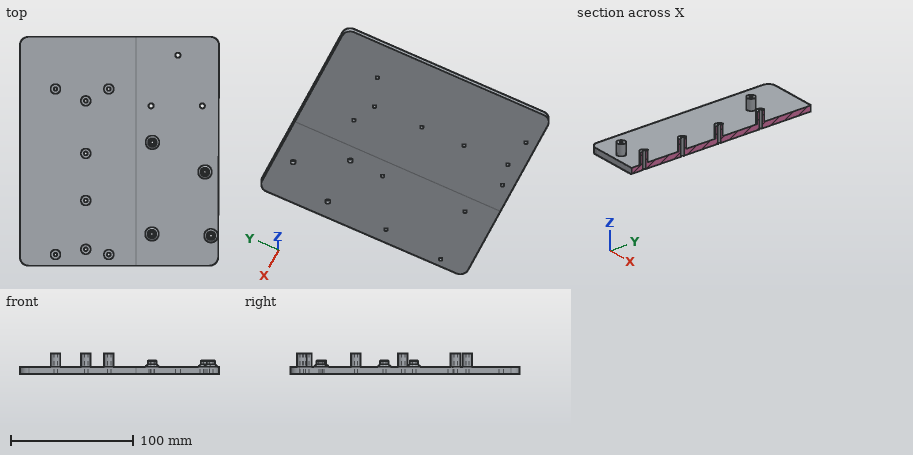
import cadquery as cq

plate_length = 187.41
rear_width = 163.15
front_width = 162.35
seam_x = 95.0
plate_thickness = 6.0
corner_radius = 7.25

standoff_diameter = 8.0
standoff_height = 11.0
screw_hole_diameter = 2.8
outer_standoff_xs = (29.2, 72.8)
outer_standoff_ys = (9.2, 144.6)
inner_standoff_x = 54.0
inner_standoff_ys = (13.5, 53.4, 91.9, 134.9)
standoff_points = [(x, y) for x in outer_standoff_xs for y in outer_standoff_ys]
standoff_points += [(inner_standoff_x, y) for y in inner_standoff_ys]

boss_diameter = 7.0
boss_height = 5.5
foot_diameter = 11.2
foot_height = 2.0
boss_chamfer = 1.0
boss_points = [(108.45, 100.9), (151.45, 76.75), (108.1, 26.0), (156.35, 24.6)]

mounting_hole_diameter = 4.0
mounting_hole_points = [(129.3, 172.2), (107.4, 130.8), (149.3, 130.8)]


def left_panel():
    panel = cq.Workplane("XY").box(seam_x, plate_length, plate_thickness, centered=False)
    return panel.edges("|Z and <X").fillet(corner_radius)


def right_panel():
    outline = [
        (seam_x, 0),
        (front_width, 0),
        (rear_width, plate_length),
        (seam_x, plate_length),
    ]
    panel = cq.Workplane("XY").polyline(outline).close().extrude(plate_thickness)
    outer_corners = panel.edges("|Z and (not <X)")
    return outer_corners.fillet(corner_radius)


def standoffs():
    plane = cq.Workplane("XY").workplane(offset=plate_thickness)
    return plane.pushPoints(standoff_points).circle(standoff_diameter / 2).extrude(standoff_height)


def boss(x, y):
    """Solid of revolution: conical foot, straight shank, chamfered top."""
    shank_radius = boss_diameter / 2
    half_section = [
        (0, 0),
        (foot_diameter / 2, 0),
        (shank_radius, foot_height),
        (shank_radius, boss_height - boss_chamfer),
        (shank_radius - boss_chamfer, boss_height),
        (0, boss_height),
    ]
    profile = cq.Workplane("XZ").polyline(half_section).close()
    return profile.revolve(360, (0, 0, 0), (0, 1, 0)).translate((x, y, plate_thickness))


def through_holes(points, diameter):
    """Cutters that pass through the plate and through anything standing on it."""
    hole_length = plate_thickness + standoff_height
    return cq.Workplane("XY").pushPoints(points).circle(diameter / 2).extrude(hole_length)


result = left_panel().union(right_panel(), clean=False)
result = result.union(standoffs(), clean=False)
for boss_x, boss_y in boss_points:
    result = result.union(boss(boss_x, boss_y), clean=False)
result = result.cut(through_holes(standoff_points + boss_points, screw_hole_diameter), clean=False)
result = result.cut(through_holes(mounting_hole_points, mounting_hole_diameter), clean=False)